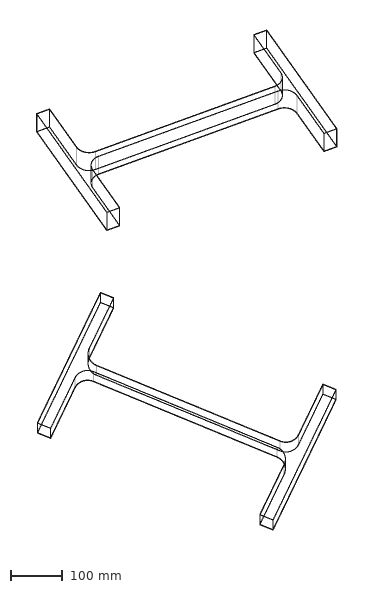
import cadquery as cq

flange_width = 300.0
section_depth = 500.0
cut_length = 50.0
flange_thickness = 28.0
web_thickness = 14.5
root_radius = 27.0

web_depth = section_depth - 2 * flange_thickness
flange_offset = (section_depth - flange_thickness) / 2


def make_flange(side):
    """Flange at the +Y (side=1) or -Y (side=-1) end of the web."""
    return (
        cq.Workplane("XY")
        .center(0, side * flange_offset)
        .rect(flange_width, flange_thickness)
        .extrude(cut_length)
    )


web = cq.Workplane("XY").rect(web_thickness, web_depth).extrude(cut_length)
section = web.union(make_flange(1)).union(make_flange(-1))

root_corners = cq.selectors.BoxSelector(
    (-web_thickness, -section_depth / 2, 0),
    (web_thickness, section_depth / 2, cut_length),
)
result = section.edges("|Z").edges(root_corners).fillet(root_radius)